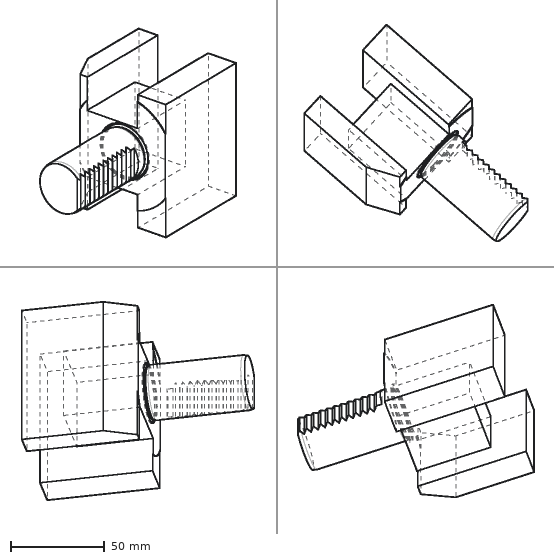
import cadquery as cq
import math

total_length = 117.0
shank_length = 55.0
block_height = 80.0
block_drop = 3.0
left_reach = 38.0
right_reach = 28.0
left_plate = 13.0
right_plate = 19.0
web_height = 40.0
web_setback = 20.1
bevel_width = 8.0
bevel_angle = 25.0

seat_radius = 34.0
seat_height = 0.4

shank_diameter = 30.0
taper_diameter = 29.1
neck_diameter = 28.8
neck_length = 0.7
taper_start = 0.9
taper_end = 2.2
shank_root = 2.1
end_chamfer_length = 2.1
end_chamfer_depth = 0.5

ring_section = 2.1
ring_radius = 14.5
ring_protrusion = 0.2
recess_radius = 16.4

flat_offset = 12.2
flat_start = 6.8
groove_pitch = 4.0
groove_count = 12
first_groove = 11.8
groove_depth = 1.9

block_length = total_length - shank_length
shank_radius = shank_diameter / 2
neck_radius = neck_diameter / 2
ring_center_y = ring_section / 2 - ring_protrusion
bevel_length = bevel_width / math.tan(math.radians(bevel_angle))


def make_block_envelope():
    """Plan outline of the whole block, with the bevel on its left front corner."""
    front_width = bevel_width + seat_height * math.tan(math.radians(bevel_angle))
    outline = [
        (-left_reach, block_length),
        (-left_reach, seat_height + bevel_length),
        (-left_reach + front_width, 0),
        (right_reach, 0),
        (right_reach, block_length),
    ]
    return (
        cq.Workplane("XY")
        .workplane(offset=-block_drop - block_height / 2)
        .polyline(outline)
        .close()
        .extrude(block_height)
    )


def bar_across(x_start, x_end, y_start, y_end, height):
    """Box centred on the block's mid-height."""
    return (
        cq.Workplane("XY")
        .box(x_end - x_start, y_end - y_start, height, centered=(False, False, True))
        .translate((x_start, y_start, -block_drop))
    )


def make_h_section(front):
    """Two upright plates joined by a central web, all starting at the plane y = front."""
    left = bar_across(-left_reach, -left_reach + left_plate, front, block_length, block_height)
    right = bar_across(right_reach - right_plate, right_reach, front, block_length, block_height)
    web = bar_across(-left_reach, right_reach, front, block_length - web_setback, web_height)
    return left.union(right).union(web)


def cylinder_along_y(radius, y_start, y_end):
    """Cylinder on the shank axis."""
    return (
        cq.Workplane("XZ", origin=(0, y_end, 0))
        .circle(radius)
        .extrude(y_end - y_start)
    )


def make_block():
    """H-shaped block with the round raised seat and the ring recess in its front."""
    seat = cylinder_along_y(seat_radius, 0, seat_height).intersect(make_h_section(0))
    block = make_h_section(seat_height).union(seat)
    block = block.intersect(make_block_envelope())
    recess = cylinder_along_y(recess_radius, 0, ring_center_y)
    return block.cut(recess)


def make_shank():
    """Turned shank and its neck, reaching into the block for a sound joint."""
    end_radius = shank_radius - end_chamfer_depth
    profile = [
        (0, shank_root),
        (neck_radius, shank_root),
        (neck_radius, -neck_length),
        (taper_diameter / 2, -taper_start),
        (shank_radius, -taper_end),
        (shank_radius, -shank_length + end_chamfer_length),
        (end_radius, -shank_length),
        (0, -shank_length),
    ]
    return cq.Workplane("XY").polyline(profile).close().revolve(360, (0, 0, 0), (0, 1, 0))


def cut_serrations(shank):
    """Flat with a row of 90 degree V grooves across it."""
    flat = (
        cq.Workplane("XY")
        .box(shank_radius, shank_length, shank_diameter, centered=(False, False, True))
        .translate((flat_offset, -flat_start - shank_length, 0))
    )
    shank = shank.cut(flat)
    for index in range(groove_count):
        y = -first_groove - index * groove_pitch
        groove = (
            cq.Workplane("XY")
            .workplane(offset=-shank_radius)
            .polyline([
                (flat_offset - groove_depth, y),
                (flat_offset, y + groove_depth),
                (flat_offset, y - groove_depth),
            ])
            .close()
            .extrude(shank_diameter)
        )
        shank = shank.cut(groove)
    return shank


def make_ring():
    """Sealing ring; its rear half is embedded in the floor of the recess."""
    return (
        cq.Workplane("XY")
        .center(ring_radius, ring_center_y)
        .circle(ring_section / 2)
        .revolve(360, (-ring_radius, 0, 0), (-ring_radius, 1, 0))
    )


result = make_block().union(cut_serrations(make_shank())).union(make_ring())